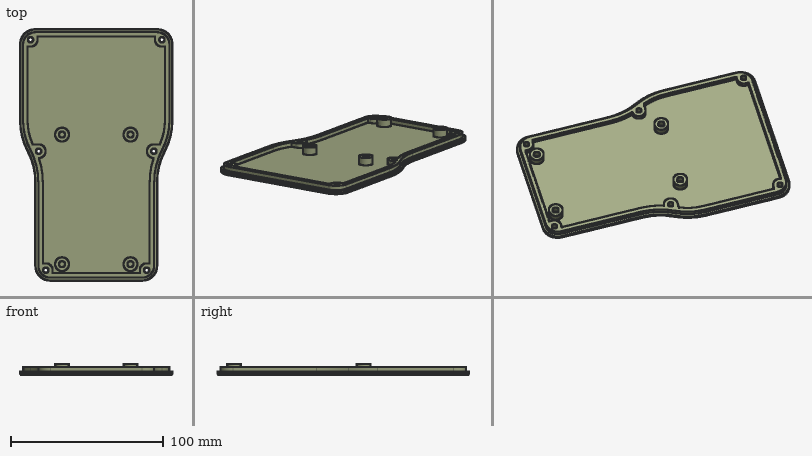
import cadquery as cq
import math

length = 165.0
head_width = 100.0
handle_width = 80.0
corner_radius = 10.0
taper_top_y = 22.6
taper_bottom_y = -17.5

plate_height = 2.5
floor_height = 2.5
rim_height = 5.5
standoff_height = 7.5
bottom_chamfer = 1.0

rim_inset = 2.0
rim_thickness = 3.0

screw_diameter = 3.3
pad_diameter = 9.0
screw_edge_distance = 7.0
middle_screw_x = 37.8
middle_screw_y = 2.5

standoff_diameter = 9.0
pilot_diameter = 4.0
standoff_x = 22.5
standoff_top_y = 13.4
standoff_bottom_y = -71.6

half_length = length / 2
head_x = head_width / 2
handle_x = handle_width / 2
corner_screw_y = half_length - screw_edge_distance
head_screw_x = head_x - screw_edge_distance
handle_screw_x = handle_x - screw_edge_distance
right_screws = [
    (head_screw_x, corner_screw_y),
    (middle_screw_x, middle_screw_y),
    (handle_screw_x, -corner_screw_y),
]
screw_points = [(side * x, y) for side in (1, -1) for x, y in right_screws]
standoff_points = [
    (side * standoff_x, y) for side in (1, -1) for y in (standoff_top_y, standoff_bottom_y)
]


def outline():
    """Closed outer profile; each side tapers through two equal, opposed tangent arcs."""
    drop = taper_top_y - taper_bottom_y
    step = head_x - handle_x
    sweep = 2 * math.atan2(step, drop)
    radius = drop / (2 * math.sin(sweep))
    arc_mid_x = radius * (1 - math.cos(sweep / 2))
    arc_mid_y = radius * math.sin(sweep / 2)
    inflection = ((head_x + handle_x) / 2, (taper_top_y + taper_bottom_y) / 2)
    upper_mid = (head_x - arc_mid_x, taper_top_y - arc_mid_y)
    lower_mid = (handle_x + arc_mid_x, taper_bottom_y + arc_mid_y)

    def mirrored(point):
        return (-point[0], point[1])

    return (
        cq.Workplane("XY")
        .moveTo(head_x, half_length)
        .lineTo(head_x, taper_top_y)
        .threePointArc(upper_mid, inflection)
        .threePointArc(lower_mid, (handle_x, taper_bottom_y))
        .lineTo(handle_x, -half_length)
        .lineTo(-handle_x, -half_length)
        .lineTo(-handle_x, taper_bottom_y)
        .threePointArc(mirrored(lower_mid), mirrored(inflection))
        .threePointArc(mirrored(upper_mid), (-head_x, taper_top_y))
        .lineTo(-head_x, half_length)
        .close()
    )


def inset_solid(inset, height):
    """Solid with the outer profile moved inward, standing on the underside."""
    sharp = outline().extrude(height)
    rounded = sharp.edges("|Z").edges("<Y or >Y").fillet(corner_radius)
    if inset == 0:
        return rounded
    profile = rounded.faces("<Z").wires().val().offset2D(-inset)[0]
    return cq.Workplane("XY").add(profile).toPending().extrude(height)


def block(corner, opposite):
    """Rim-high rectangular block between two opposite corners in plan."""
    width = abs(opposite[0] - corner[0])
    depth = abs(opposite[1] - corner[1])
    center = ((corner[0] + opposite[0]) / 2, (corner[1] + opposite[1]) / 2)
    return cq.Workplane("XY").center(*center).rect(width, depth).extrude(rim_height)


def screw_pads(envelope):
    """Round pads whose sides run straight out to the rim, trimmed to its outside."""
    radius = pad_diameter / 2
    reach = screw_edge_distance
    pads = cq.Workplane("XY").pushPoints(screw_points).circle(radius).extrude(rim_height)
    for x, y in screw_points:
        out_x = math.copysign(1, x)
        out_y = math.copysign(1, y)
        at_corner = abs(y) == corner_screw_y
        straight_y = y - out_y * radius if at_corner else y + radius
        pads = pads.union(block((x, y), (x + out_x * reach, straight_y)))
        if at_corner:
            pads = pads.union(block((x - out_x * radius, y), (x + out_x * reach, y + out_y * reach)))
    return pads.intersect(envelope)


plate = inset_solid(0, plate_height).faces("<Z").edges().chamfer(bottom_chamfer)

rim_envelope = inset_solid(rim_inset, rim_height)
cavity = inset_solid(rim_inset + rim_thickness, rim_height).translate((0, 0, floor_height))
body = plate.union(rim_envelope).cut(cavity).union(screw_pads(rim_envelope))

standoffs = (
    cq.Workplane("XY")
    .pushPoints(standoff_points)
    .circle(standoff_diameter / 2)
    .extrude(standoff_height)
)
pilot_holes = (
    cq.Workplane("XY", origin=(0, 0, floor_height))
    .pushPoints(standoff_points)
    .circle(pilot_diameter / 2)
    .extrude(standoff_height)
)
screw_holes = cq.Workplane("XY").pushPoints(screw_points).circle(screw_diameter / 2).extrude(rim_height)

result = body.union(standoffs).cut(pilot_holes).cut(screw_holes)